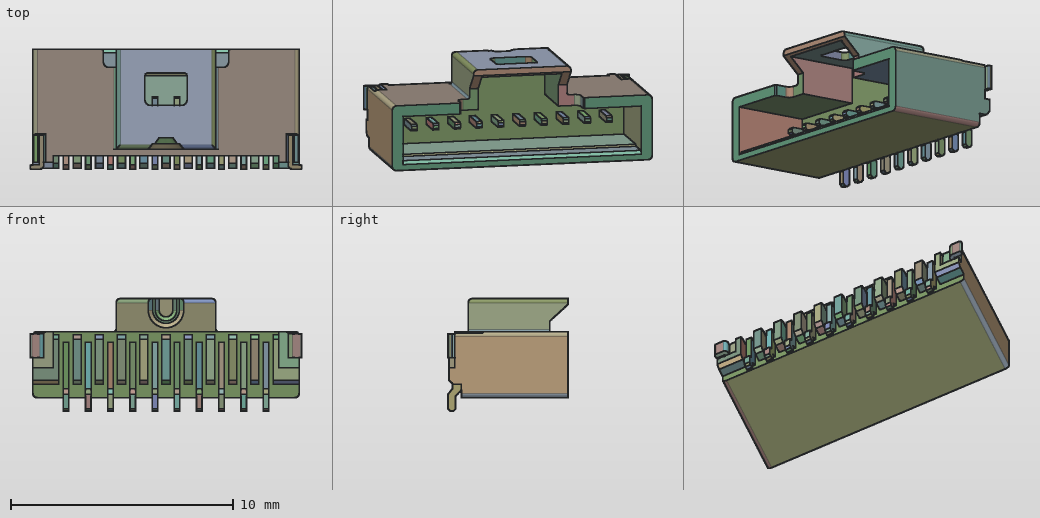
import cadquery as cq


OVERLAP = 0.1
CLEARANCE = 1.0

HALF_WIDTH = 6.0
HEIGHT = 2.98
BACK_DEPTH = 4.8
EDGE_RADIUS = 0.2
WALL = 0.5
CAVITY_DEPTH = 3.6
LEAD_IN = 0.15
FLOOR_STEP_DEPTH = 1.11
FLOOR_STEP = 0.08

TOWER_HALF_WIDTH = 2.25
TOWER_TOP = 4.47
TOWER_DEPTH = 4.5
TOWER_RADIUS = 0.2
TOWER_BASE_RADIUS = 0.1
TOWER_WALL = 0.4
ROOF_THICKNESS = 0.37

RELIEF_DEPTH = 0.82
RELIEF_CORNER_TOP = 3.45
RELIEF_LIP = 4.2
NOTCH_HALF_WIDTH = 2.82
NOTCH_RADIUS = 0.25
NOTCH_MOUTH_CHAMFER = 0.06

WINDOW_HALF_WIDTH = 0.95
WINDOW_NEAR = 1.06
WINDOW_FAR = 2.53
WINDOW_NEAR_RADIUS = 0.17
WINDOW_FAR_RADIUS = 0.25

DISH_CENTER_Z = 3.95
DISH_MOUTH_RADIUS = 0.8
DISH_STEP_OUTER_RADIUS = 0.6
DISH_STEP_INNER_RADIUS = 0.49
DISH_FLOOR_RADIUS = 0.31
DISH_STEP_DEPTH = 0.25
DISH_DEPTH = 0.52

RIB_WIDTH = 0.37
RIB_DEPTH = 5.37
RIB_BOTTOM = 0.6
RIB_TOP = 2.83
RIB_TOP_BEVEL_Y = 0.24
RIB_TOP_BEVEL_Z = 0.19
RIB_BOTTOM_BEVEL = 0.19
END_BLOCK_INNER = 4.82
CORNER_INNER = 5.08
CORNER_DEPTH = 5.1
CORNER_LEDGE_Z = 1.34

CONTACT_COUNT = 10
PITCH = 1.0
CONTACT_WIDTH = 0.26
CONTACT_BACK = 5.21
CONTACT_TOP = 2.49
CONTACT_TIP_DEPTH = 2.13
CONTACT_AXIS_Z = 1.5
CONTACT_THICKNESS = 0.3
CONTACT_TIP_BEVEL = 0.08
FOOT_BACK = 5.41
FOOT_FRONT = 5.06
FOOT_BOTTOM = -0.6
FOOT_CHAMFER = 0.1
BEND_BACK_TOP = 0.41
BEND_BACK_BOTTOM = 0.16
BEND_FRONT_TOP = 0.35
BEND_FRONT_BOTTOM = 0.07

NAIL_INNER = 5.51
NAIL_THICKNESS = 0.2
NAIL_TIP = 6.12
NAIL_FRONT = 3.87
NAIL_BACK = FOOT_BACK
NAIL_BOTTOM = 1.81
NAIL_TOP = 2.88
NAIL_TIP_RADIUS = 0.07
NAIL_BEND_RADIUS = 0.18
SLOT_OUTER = 5.78
POCKET_FLOOR = 2.91
POCKET_FRONT = 3.8
POCKET_INNER = 5.41


def block(x_min, x_max, depth_min, depth_max, z_min, z_max):
    """Box between two X values, two depths and two heights."""
    size = (x_max - x_min, depth_max - depth_min, z_max - z_min)
    return cq.Workplane("XY").box(*size, centered=False).translate((x_min, -depth_max, z_min))


def side_prism(points, x_center, width):
    """Prism along X from (depth, z) points."""
    outline = [(-depth, z) for depth, z in points]
    prism = cq.Workplane("YZ").polyline(outline).close().extrude(width / 2, both=True)
    return prism.translate((x_center, 0, 0))


def on_both_sides(shape):
    return shape.union(shape.mirror("YZ"))


def make_housing():
    """Rounded bar along Y whose back is cut in, leaving a longer upper corner at each end."""
    shell = block(-HALF_WIDTH, HALF_WIDTH, 0, CORNER_DEPTH, 0, HEIGHT).edges("|Y").fillet(EDGE_RADIUS)
    back_between_corners = block(-CORNER_INNER, CORNER_INNER, BACK_DEPTH, CORNER_DEPTH, 0, HEIGHT)
    back_below_corners = block(-HALF_WIDTH, HALF_WIDTH, BACK_DEPTH, CORNER_DEPTH, 0, CORNER_LEDGE_Z)
    return shell.cut(back_between_corners).cut(back_below_corners)


def make_tower():
    tower = block(-TOWER_HALF_WIDTH, TOWER_HALF_WIDTH, 0, TOWER_DEPTH, HEIGHT - OVERLAP, TOWER_TOP)
    tower = tower.faces(">Z").edges("<X or >X or <Y").fillet(TOWER_RADIUS)
    base_fillet = (
        cq.Workplane("XZ", origin=(TOWER_HALF_WIDTH, 0, HEIGHT))
        .moveTo(0, TOWER_BASE_RADIUS)
        .radiusArc((TOWER_BASE_RADIUS, 0), -TOWER_BASE_RADIUS)
        .lineTo(TOWER_BASE_RADIUS, -OVERLAP)
        .lineTo(-OVERLAP, -OVERLAP)
        .lineTo(-OVERLAP, TOWER_BASE_RADIUS)
        .close()
        .extrude(TOWER_DEPTH)
    )
    return tower.union(on_both_sides(base_fillet))


def make_cavity():
    """Space for the mating plug, with a tall middle for its latch and a stepped floor."""
    inner = HALF_WIDTH - WALL
    tower_inner = TOWER_HALF_WIDTH - TOWER_WALL
    main = block(-inner, inner, -CLEARANCE, CAVITY_DEPTH, WALL, HEIGHT - WALL)
    latch_space = block(
        -tower_inner, tower_inner, -CLEARANCE, CAVITY_DEPTH, WALL, TOWER_TOP - ROOF_THICKNESS
    )
    lower_floor = WALL - FLOOR_STEP
    floor_relief = side_prism(
        [
            (0, lower_floor - LEAD_IN),
            (LEAD_IN, lower_floor),
            (FLOOR_STEP_DEPTH, lower_floor),
            (FLOOR_STEP_DEPTH + FLOOR_STEP, WALL),
            (0, WALL),
        ],
        0,
        2 * inner,
    )
    return main.union(latch_space).union(floor_relief)


def make_relief():
    """Cut below the front of the tower, and the rounded notch through the top wall."""
    undercut = side_prism(
        [
            (0, HEIGHT),
            (0, RELIEF_LIP),
            (RELIEF_DEPTH, RELIEF_CORNER_TOP),
            (RELIEF_DEPTH, HEIGHT),
        ],
        0,
        2 * NOTCH_HALF_WIDTH,
    )
    notch = block(-NOTCH_HALF_WIDTH, NOTCH_HALF_WIDTH, 0, RELIEF_DEPTH, HEIGHT - WALL, HEIGHT)
    notch = notch.edges("|Z and <Y").fillet(NOTCH_RADIUS)
    mouth_half_width = NOTCH_HALF_WIDTH + NOTCH_MOUTH_CHAMFER
    mouth = (
        cq.Workplane("XY", origin=(0, 0, HEIGHT - WALL))
        .polyline(
            [
                (-mouth_half_width, 0),
                (mouth_half_width, 0),
                (NOTCH_HALF_WIDTH, -NOTCH_MOUTH_CHAMFER),
                (-NOTCH_HALF_WIDTH, -NOTCH_MOUTH_CHAMFER),
            ]
        )
        .close()
        .extrude(WALL)
    )
    return undercut.union(notch).union(mouth)


def make_window():
    """Rounded opening through the tower roof."""
    roof_bottom = TOWER_TOP - ROOF_THICKNESS
    opening = block(
        -WINDOW_HALF_WIDTH, WINDOW_HALF_WIDTH, WINDOW_NEAR, WINDOW_FAR, roof_bottom, TOWER_TOP
    )
    opening = opening.edges("|Z and >Y").fillet(WINDOW_NEAR_RADIUS)
    return opening.edges("|Z and <Y").fillet(WINDOW_FAR_RADIUS)


def dish_outline(radius, depth):
    """U-shaped wire at a distance into the tower's back face."""
    rise = TOWER_TOP + CLEARANCE - DISH_CENTER_Z
    plane = cq.Workplane("XZ", origin=(0, depth - TOWER_DEPTH, DISH_CENTER_Z))
    wire = (
        plane.moveTo(radius, rise)
        .lineTo(-radius, rise)
        .lineTo(-radius, 0)
        .threePointArc((0, -radius), (radius, 0))
        .close()
    )
    return wire.val()


def make_dish():
    """Two tapers with a flat ledge between them."""

    def taper(outer_radius, inner_radius, start, end):
        wires = [dish_outline(outer_radius, start), dish_outline(inner_radius, end)]
        return cq.Workplane("XY").add(cq.Solid.makeLoft(wires, True))

    mouth = taper(DISH_MOUTH_RADIUS, DISH_STEP_OUTER_RADIUS, 0, DISH_STEP_DEPTH)
    core = taper(DISH_STEP_INNER_RADIUS, DISH_FLOOR_RADIUS, DISH_STEP_DEPTH, DISH_DEPTH)
    return mouth.union(core)


def rib_profile():
    """Side outline shared by the ribs and the end blocks, bevelled at both ends."""
    return [
        (BACK_DEPTH - OVERLAP, RIB_BOTTOM),
        (RIB_DEPTH - RIB_BOTTOM_BEVEL, RIB_BOTTOM),
        (RIB_DEPTH, RIB_BOTTOM + RIB_BOTTOM_BEVEL),
        (RIB_DEPTH, RIB_TOP - RIB_TOP_BEVEL_Z),
        (RIB_DEPTH - RIB_TOP_BEVEL_Y, RIB_TOP),
        (BACK_DEPTH - OVERLAP, RIB_TOP),
    ]


def make_ribs():
    """End blocks and one rib between each pair of contacts."""
    ribs = make_end_blocks()
    rib_count = CONTACT_COUNT - 1
    for index in range(rib_count):
        x = (index - (rib_count - 1) / 2) * PITCH
        ribs = ribs.union(side_prism(rib_profile(), x, RIB_WIDTH))
    return ribs


def make_end_blocks():
    """L-shaped blocks at both ends, with room above the ledge for the solder nails."""
    width = HALF_WIDTH - END_BLOCK_INNER
    end_block = side_prism(rib_profile(), END_BLOCK_INNER + width / 2, width)
    nail_space = block(
        CORNER_INNER, HALF_WIDTH, BACK_DEPTH - OVERLAP, RIB_DEPTH, CORNER_LEDGE_Z, HEIGHT
    )
    return on_both_sides(end_block.cut(nail_space))


def pocket_outline(inner, front, z):
    """Rectangular wire of the nail pocket at one height, open to the side and the back."""
    corners = [
        (inner, -CORNER_DEPTH, z),
        (HALF_WIDTH, -CORNER_DEPTH, z),
        (HALF_WIDTH, -front, z),
        (inner, -front, z),
    ]
    return cq.Wire.makePolygon([cq.Vector(*corner) for corner in corners], close=True)


def make_nail_pocket():
    """Shallow recess in the top with sloped inner and front sides, and a slot for the leaf."""
    floor = pocket_outline(NAIL_INNER, NAIL_FRONT, POCKET_FLOOR)
    rim = pocket_outline(POCKET_INNER, POCKET_FRONT, HEIGHT)
    recess = cq.Workplane("XY").add(cq.Solid.makeLoft([floor, rim], True))
    slot = block(NAIL_INNER, SLOT_OUTER, NAIL_FRONT, CORNER_DEPTH, NAIL_BOTTOM, POCKET_FLOOR)
    return recess.union(slot)


def make_nail():
    """L-shaped strip: a leaf along Y in the slot and a flange bent outward behind the housing."""
    leaf_outer = NAIL_INNER + NAIL_THICKNESS
    flange_front = NAIL_BACK - NAIL_THICKNESS
    nail = (
        cq.Workplane("XY", origin=(0, 0, NAIL_BOTTOM))
        .polyline(
            [
                (NAIL_INNER, -NAIL_FRONT),
                (leaf_outer, -NAIL_FRONT),
                (leaf_outer, -flange_front),
                (NAIL_TIP, -flange_front),
                (NAIL_TIP, -NAIL_BACK),
                (NAIL_INNER, -NAIL_BACK),
            ]
        )
        .close()
        .extrude(NAIL_TOP - NAIL_BOTTOM)
    )
    nail = nail.faces(">X").edges("|Z").fillet(NAIL_TIP_RADIUS)
    bend_edge = cq.selectors.NearestToPointSelector((NAIL_INNER, -NAIL_BACK, NAIL_TOP))
    return nail.edges("|Z").edges(bend_edge).fillet(NAIL_BEND_RADIUS)


def make_contact(x):
    """Bent tail behind the housing and straight blade in the cavity, joined through the back wall."""
    blade_bottom = CONTACT_AXIS_Z - CONTACT_THICKNESS / 2
    blade_top = CONTACT_AXIS_Z + CONTACT_THICKNESS / 2
    tail = side_prism(
        [
            (BACK_DEPTH - OVERLAP, CONTACT_TOP),
            (CONTACT_BACK, CONTACT_TOP),
            (CONTACT_BACK, BEND_BACK_TOP),
            (FOOT_BACK, BEND_BACK_BOTTOM),
            (FOOT_BACK, FOOT_BOTTOM + FOOT_CHAMFER),
            (FOOT_BACK - FOOT_CHAMFER, FOOT_BOTTOM),
            (FOOT_FRONT + FOOT_CHAMFER, FOOT_BOTTOM),
            (FOOT_FRONT, FOOT_BOTTOM + FOOT_CHAMFER),
            (FOOT_FRONT, BEND_FRONT_BOTTOM),
            (BACK_DEPTH, BEND_FRONT_TOP),
            (BACK_DEPTH - OVERLAP, BEND_FRONT_TOP),
        ],
        x,
        CONTACT_WIDTH,
    )
    blade = side_prism(
        [
            (BACK_DEPTH, blade_bottom),
            (CONTACT_TIP_DEPTH + CONTACT_TIP_BEVEL, blade_bottom),
            (CONTACT_TIP_DEPTH, blade_bottom + CONTACT_TIP_BEVEL),
            (CONTACT_TIP_DEPTH, blade_top - CONTACT_TIP_BEVEL),
            (CONTACT_TIP_DEPTH + CONTACT_TIP_BEVEL, blade_top),
            (BACK_DEPTH, blade_top),
        ],
        x,
        CONTACT_WIDTH,
    )
    return tail, blade


def add_contacts(housing):
    for index in range(CONTACT_COUNT):
        x = (index - (CONTACT_COUNT - 1) / 2) * PITCH
        tail, blade = make_contact(x)
        housing = housing.union(tail).union(blade)
    return housing


housing = make_housing().union(make_tower()).union(make_ribs())
for cutter in (make_cavity(), make_relief(), make_window(), make_dish()):
    housing = housing.cut(cutter)
housing = housing.cut(on_both_sides(make_nail_pocket()))
housing = housing.union(on_both_sides(make_nail()))
result = add_contacts(housing)